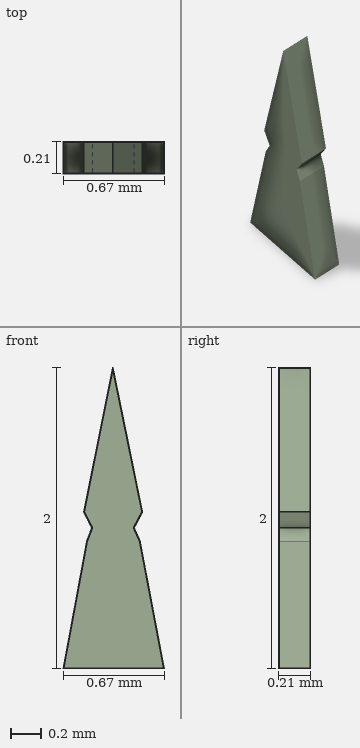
import cadquery as cq

height = 2.0
base_width = 0.67
thickness = 0.21

shoulder_height = 0.848
neck_height = 0.935
barb_height = 1.042

tip_x = -0.005
barb_left, barb_right = -0.198, 0.19
neck_left, neck_right = -0.145, 0.135
shoulder_left, shoulder_right = -0.178, 0.175

outline = [
    (-base_width / 2, 0),
    (base_width / 2, 0),
    (shoulder_right, shoulder_height),
    (neck_right, neck_height),
    (barb_right, barb_height),
    (tip_x, height),
    (barb_left, barb_height),
    (neck_left, neck_height),
    (shoulder_left, shoulder_height),
]

result = cq.Workplane("XZ").polyline(outline).close().extrude(thickness / 2, both=True)